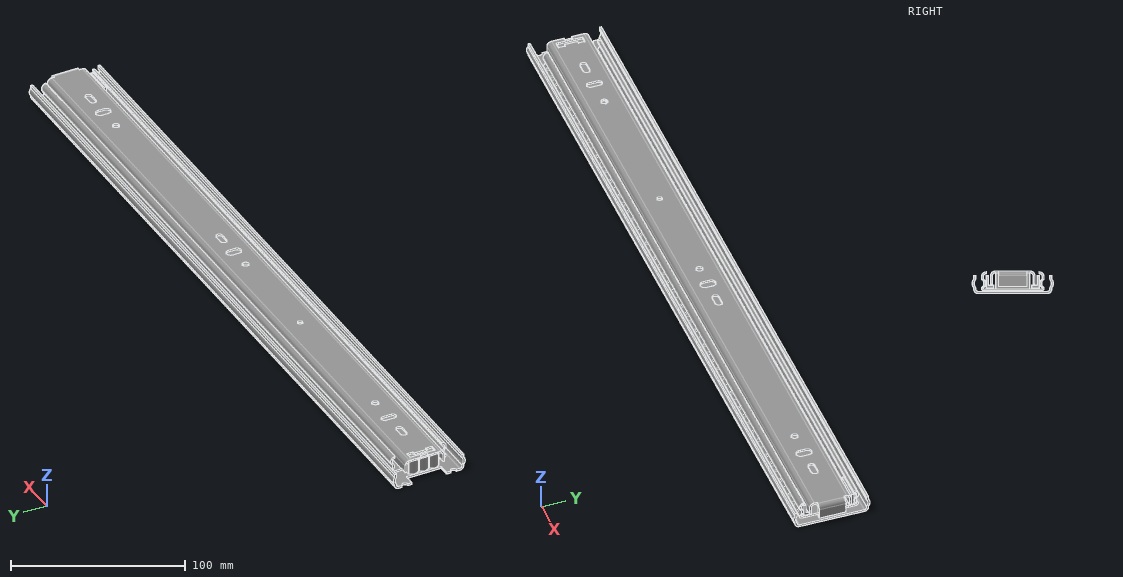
import cadquery as cq


LENGTH = 450.0
WIDTH = 47.0
HEIGHT = 13.0
START = -LENGTH / 2

OUTER_END = 223.7
OUTER_SHEET = 1.5
OUTER_WALL_Y = 22.5
OUTER_TOP = 10.5
OUTER_CORNER = 2.5
BULGE = WIDTH / 2 - OUTER_WALL_Y
RACE_Z = 6.0
RACE_HALF = 2.48
END_CUTOUT_WIDTH = 22.5
END_CUTOUT_DEPTH = 6.8
NOTCH_Y = 15.8
NOTCH_RADIUS = 2.0
SCREW_HOLES_X = (176.0, 191.0)
SCREW_HOLE_DIAMETER = 4.5

MIDDLE_START = -211.5
MIDDLE_END = 219.0
MIDDLE_TOP = 12.5
MIDDLE_WALL_Y = 18.0
MIDDLE_SHEET = 1.13
MIDDLE_BOTTOM = 1.58
MIDDLE_CORNER = 1.58
WAIST_DEPTH = 1.5
LIP_RADIUS = 2.93
CLEARANCE_HOLE_DIAMETER = 5.5
ACCESS_HOLE_X = -171.0
ACCESS_HOLE_DIAMETER = 11.0

INNER_START = -219.5
INNER_END = 221.5
INNER_WALL_Y = 12.85
INNER_SHEET = 1.13
INNER_BOTTOM = 5.5
INNER_CORNER = 2.93
FINGER_NOTCH_WIDTH = 4.5
FINGER_NOTCH_DEPTH = 1.5
WINDOW_WIDTH = 16.0
WINDOW_FRONT = -217.0
WINDOW_BACK = -213.0
TONGUE_WIDTH = 8.0
TONGUE_LENGTH = 1.5
TAB_WIDTH = 16.0
TAB_BOTTOM = 4.0
TAB_SHEET = 2.3
TAB_BEND = 2.5
ROUND_HOLES = ((-158.5, 4.0), (-65.5, 3.0), (1.5, 4.0), (161.0, 4.0))
LONG_SLOTS_X = (-191.0, 31.0, 192.0)
CROSS_SLOTS = ((-175.0, 4.0), (15.8, 5.5), (177.0, 5.5))
SLOT_LENGTH = 9.5
LONG_SLOT_WIDTH = 4.0

GUIDE_START = 202.0
GUIDE_FOOT_Y = 11.0
GUIDE_LEG_Y = 14.0
GUIDE_OUTER_Y = 15.5
GUIDE_BOTTOM = 3.0
GUIDE_FOOT_TOP = 5.0
GUIDE_TOP = 10.5

PLUG_BACK = -211.5
PLUG_WIDTH = 20.0
PLUG_BOTTOM = 2.5
BUMPS_Y = (-6.53, 0, 6.53)
BUMP_WIDTH = 6.0
BUMP_DEPTH = 1.5


def extrude_section(half_outline, start, end):
    """Extrude a section, drawn on the +Y half and closed along Y = 0, and mirror it."""
    half = half_outline.close().extrude(end - start)
    return half.union(half.mirror("XZ"))


def section_plane(start):
    """Sketch plane across the rails, with local x along Y and local y along Z."""
    return cq.Workplane("YZ", origin=(start, 0, 0))


def upright_cylinder(x, y, diameter):
    """Round hole cutter as tall as the whole slide."""
    return cq.Workplane("XY").center(x, y).circle(diameter / 2).extrude(HEIGHT)


def upright_slot(x, length, width, angle):
    """Round-ended slot cutter as tall as the whole slide."""
    return cq.Workplane("XY").center(x, 0).slot2D(length, width, angle).extrude(HEIGHT)


def make_outer_rail():
    race_low = RACE_Z - RACE_HALF
    race_high = RACE_Z + RACE_HALF
    inner_y = OUTER_WALL_Y - OUTER_SHEET
    inner_corner = OUTER_CORNER - OUTER_SHEET
    outline = (
        section_plane(START)
        .lineTo(OUTER_WALL_Y - OUTER_CORNER, 0)
        .radiusArc((OUTER_WALL_Y, OUTER_CORNER), -OUTER_CORNER)
        .lineTo(OUTER_WALL_Y, race_low)
        .threePointArc((OUTER_WALL_Y + BULGE, RACE_Z), (OUTER_WALL_Y, race_high))
        .lineTo(OUTER_WALL_Y, OUTER_TOP)
        .lineTo(inner_y, OUTER_TOP)
        .lineTo(inner_y, race_high)
        .threePointArc((inner_y + BULGE, RACE_Z), (inner_y, race_low))
        .lineTo(inner_y, OUTER_CORNER)
        .radiusArc((inner_y - inner_corner, OUTER_SHEET), inner_corner)
        .lineTo(0, OUTER_SHEET)
    )
    rail = extrude_section(outline, START, OUTER_END)
    rail = rail.cut(cq.Workplane("XY").center(START, 0).rect(
        2 * END_CUTOUT_DEPTH, END_CUTOUT_WIDTH).extrude(HEIGHT))
    for side in (-1, 1):
        rail = rail.cut(upright_cylinder(START, side * NOTCH_Y, 2 * NOTCH_RADIUS))
    for x in SCREW_HOLES_X:
        rail = rail.cut(upright_cylinder(x, 0, SCREW_HOLE_DIAMETER))
    return rail


def make_middle_rail():
    race_low = RACE_Z - RACE_HALF
    race_high = RACE_Z + RACE_HALF
    lip_z = MIDDLE_TOP - LIP_RADIUS
    lip_y = MIDDLE_WALL_Y - LIP_RADIUS
    inner_y = MIDDLE_WALL_Y - MIDDLE_SHEET
    floor = MIDDLE_BOTTOM + MIDDLE_SHEET
    inner_corner = MIDDLE_CORNER - MIDDLE_SHEET
    outline = (
        section_plane(MIDDLE_START)
        .moveTo(0, MIDDLE_BOTTOM)
        .lineTo(MIDDLE_WALL_Y - MIDDLE_CORNER, MIDDLE_BOTTOM)
        .radiusArc((MIDDLE_WALL_Y, MIDDLE_BOTTOM + MIDDLE_CORNER), -MIDDLE_CORNER)
        .lineTo(MIDDLE_WALL_Y, race_low)
        .threePointArc((MIDDLE_WALL_Y - WAIST_DEPTH, RACE_Z), (MIDDLE_WALL_Y, race_high))
        .lineTo(MIDDLE_WALL_Y, lip_z)
        .radiusArc((lip_y, MIDDLE_TOP), -LIP_RADIUS)
        .lineTo(lip_y, MIDDLE_TOP - MIDDLE_SHEET)
        .radiusArc((inner_y, lip_z), LIP_RADIUS - MIDDLE_SHEET)
        .lineTo(inner_y, race_high)
        .threePointArc((inner_y - WAIST_DEPTH, RACE_Z), (inner_y, race_low))
        .lineTo(inner_y, floor + inner_corner)
        .radiusArc((inner_y - inner_corner, floor), inner_corner)
        .lineTo(0, floor)
    )
    rail = extrude_section(outline, MIDDLE_START, MIDDLE_END)
    rail = rail.cut(upright_cylinder(ACCESS_HOLE_X, 0, ACCESS_HOLE_DIAMETER))
    for x in SCREW_HOLES_X:
        rail = rail.cut(upright_cylinder(x, 0, CLEARANCE_HOLE_DIAMETER))
    return rail


def make_end_tab():
    """Tongue of the inner rail that runs past its end and bends down."""
    face_x = LENGTH / 2
    inside_x = face_x - TAB_SHEET
    inside_bend = TAB_BEND - TAB_SHEET
    return (
        cq.Workplane("XZ", origin=(0, TAB_WIDTH / 2, 0))
        .moveTo(INNER_END, HEIGHT)
        .lineTo(face_x - TAB_BEND, HEIGHT)
        .radiusArc((face_x, HEIGHT - TAB_BEND), TAB_BEND)
        .lineTo(face_x, TAB_BOTTOM)
        .lineTo(inside_x, TAB_BOTTOM)
        .lineTo(inside_x, HEIGHT - TAB_BEND)
        .radiusArc((inside_x - inside_bend, HEIGHT - TAB_SHEET), -inside_bend)
        .lineTo(INNER_END, HEIGHT - TAB_SHEET)
        .close()
        .extrude(TAB_WIDTH)
    )


def make_window_cutter():
    """Window over the plug, narrowed by a tongue in the middle of its back edge."""
    half_window = WINDOW_WIDTH / 2
    half_tongue = TONGUE_WIDTH / 2
    tongue_tip = WINDOW_BACK - TONGUE_LENGTH
    return (
        cq.Workplane("XY")
        .polyline([
            (WINDOW_FRONT, -half_window),
            (WINDOW_BACK, -half_window),
            (WINDOW_BACK, -half_tongue),
            (tongue_tip, -half_tongue),
            (tongue_tip, half_tongue),
            (WINDOW_BACK, half_tongue),
            (WINDOW_BACK, half_window),
            (WINDOW_FRONT, half_window),
        ])
        .close()
        .extrude(HEIGHT)
    )


def make_inner_rail():
    inner_y = INNER_WALL_Y - INNER_SHEET
    ceiling = HEIGHT - INNER_SHEET
    inner_corner = INNER_CORNER - INNER_SHEET
    outline = (
        section_plane(INNER_START)
        .moveTo(0, HEIGHT)
        .lineTo(INNER_WALL_Y - INNER_CORNER, HEIGHT)
        .radiusArc((INNER_WALL_Y, HEIGHT - INNER_CORNER), INNER_CORNER)
        .lineTo(INNER_WALL_Y, INNER_BOTTOM)
        .lineTo(inner_y, INNER_BOTTOM)
        .lineTo(inner_y, ceiling - inner_corner)
        .radiusArc((inner_y - inner_corner, ceiling), -inner_corner)
        .lineTo(0, ceiling)
    )
    rail = extrude_section(outline, INNER_START, INNER_END).union(make_end_tab())
    rail = rail.cut(cq.Workplane("XY").center(INNER_START, 0).rect(
        2 * FINGER_NOTCH_DEPTH, FINGER_NOTCH_WIDTH).extrude(HEIGHT))
    rail = rail.cut(make_window_cutter())
    for x, diameter in ROUND_HOLES:
        rail = rail.cut(upright_cylinder(x, 0, diameter))
    for x in LONG_SLOTS_X:
        rail = rail.cut(upright_slot(x, SLOT_LENGTH, LONG_SLOT_WIDTH, 0))
    for x, width in CROSS_SLOTS:
        rail = rail.cut(upright_slot(x, SLOT_LENGTH, width, 90))
    return rail


def make_guide(side):
    """L-shaped strip on the -Y (side = -1) or +Y (side = 1) side of the inner rail."""
    return (
        section_plane(GUIDE_START)
        .polyline([
            (side * GUIDE_FOOT_Y, GUIDE_BOTTOM),
            (side * GUIDE_OUTER_Y, GUIDE_BOTTOM),
            (side * GUIDE_OUTER_Y, GUIDE_TOP),
            (side * GUIDE_LEG_Y, GUIDE_TOP),
            (side * GUIDE_LEG_Y, GUIDE_FOOT_TOP),
            (side * GUIDE_FOOT_Y, GUIDE_FOOT_TOP),
        ])
        .close()
        .extrude(MIDDLE_END - GUIDE_START)
    )


def make_plug():
    """Block whose front has upright rounded bumps, level with the end of the inner rail."""
    height = HEIGHT - INNER_SHEET - PLUG_BOTTOM
    front = INNER_START + BUMP_DEPTH
    outline = (
        cq.Workplane("XY", origin=(0, 0, PLUG_BOTTOM))
        .moveTo(PLUG_BACK, -PLUG_WIDTH / 2)
        .lineTo(front, -PLUG_WIDTH / 2)
    )
    for y in BUMPS_Y:
        outline = outline.lineTo(front, y - BUMP_WIDTH / 2).threePointArc(
            (INNER_START, y), (front, y + BUMP_WIDTH / 2))
    outline = outline.lineTo(front, PLUG_WIDTH / 2).lineTo(PLUG_BACK, PLUG_WIDTH / 2)
    return outline.close().extrude(height)


outer_rail = make_outer_rail()
middle_rail = make_middle_rail()
inner_rail = make_inner_rail()
plug = make_plug()
guides = [make_guide(side) for side in (-1, 1)]

result = cq.Compound.makeCompound([
    outer_rail.val(),
    middle_rail.val(),
    inner_rail.val(),
    plug.val(),
    *[guide.val() for guide in guides],
])